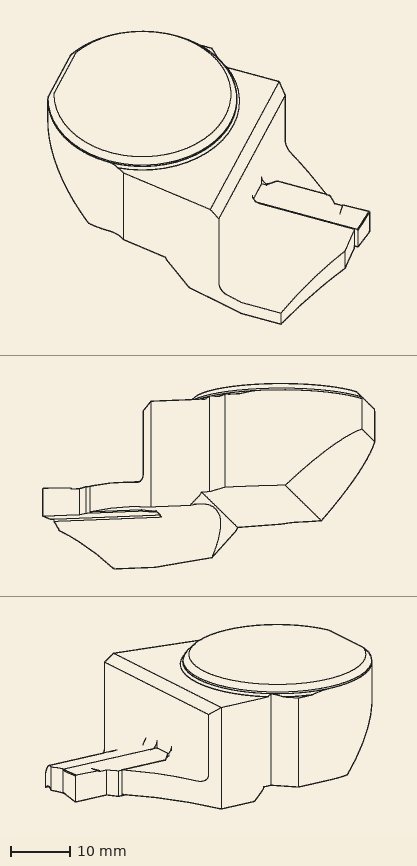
import cadquery as cq
import math


body_radius = 16.0
flat_x = -15.0
head_top_z = 17.75
disc_radius = 15.95
disc_bevel = 1.0
disc_bevel_angle = 45
collar_radius = 16.4
collar_height = 0.45
collar_rim = 0.05

block_top_z = 16.0
back_y = 12.65
back_corner_x = 6.45
back_step_x = back_corner_x + body_radius - back_y
neck_radius = 5.0
neck_end_x = 3.1
wall_x = 21.55
wall_chamfer_x = 1.65
wall_chamfer_z = 1.35

arm_front_y = -21.05
arm_front_start_x = 25.95
arm_front_end_x = 33.05
arm_end_x = 40.05
arm_end_y = -8.9
arm_back_start_x = wall_x - wall_chamfer_x
arm_back_end_x = 34.4
arm_top_radius = 34.3
arm_top_apex_z = 4.1
arm_bottom_radius = 43.5
arm_bottom_apex_z = -0.35
wall_fillet = 1.5

arm_space_width = 48.0

nose_cut_z = 11.2
step_x = 11.2
step_bend_x = 11.87
step_bend_z = -0.92
step_bend_bulge = 0.045

insert_front_y = -4.4
insert_neck_y = 0.0
insert_back_y = 1.5
insert_neck_x = 22.4
insert_flare = 1.4
insert_waist_x = 34.75
insert_tip_x = 41.1
insert_front_tip_x = 40.65
insert_top_z = 4.0
insert_bottom_front_z = -0.2
insert_bottom_neck_z = -0.5

land_start_x = 36.2
land_corner = (36.45, -2.05)
land_end_y = -3.4
land_slope = 0.105
edge_bevel = 0.15

beyond = 60.0


def x_cylinder(radius, apex_z):
    """Long cylinder along X whose highest line lies at apex_z above Y = 0."""
    return (
        cq.Workplane("YZ")
        .center(0, apex_z - radius)
        .circle(radius)
        .extrude(2 * beyond, both=True)
    )


def flat_half_width(radius):
    """Half the width of the flat on the -X side of the head at the given radius."""
    return math.sqrt(radius**2 - flat_x**2)


def flat_sided_disc(bottom_z):
    """Outline of the head disc, round with one flat on the -X side."""
    return (
        cq.Workplane("XY")
        .workplane(offset=bottom_z)
        .moveTo(flat_x, -flat_half_width(disc_radius))
        .threePointArc((disc_radius, 0), (flat_x, flat_half_width(disc_radius)))
        .close()
    )


def insert_plan():
    """Insert outline: a wide middle between two narrow necks, with a slanted cutting end."""
    return [
        (wall_x, insert_front_y),
        (insert_front_tip_x, insert_front_y),
        (insert_tip_x, insert_neck_y),
        (insert_waist_x, insert_neck_y),
        (insert_waist_x - insert_flare, insert_back_y),
        (insert_neck_x + insert_flare, insert_back_y),
        (insert_neck_x, insert_neck_y),
        (wall_x, insert_neck_y),
    ]


def holder_plan(bottom_z, top_z):
    """Plan of head, block and arm as one outline, extruded between two heights."""
    half_root = body_radius * math.sqrt(0.5)
    neck_centre_y = -body_radius - neck_radius
    neck_end_y = neck_centre_y + math.sqrt(neck_radius**2 - neck_end_x**2)
    neck_mid_x = neck_end_x / 2
    neck_mid_y = neck_centre_y + math.sqrt(neck_radius**2 - neck_mid_x**2)
    return (
        cq.Workplane("XY")
        .workplane(offset=bottom_z)
        .moveTo(flat_x, -flat_half_width(body_radius))
        .threePointArc((-half_root, -half_root), (0, -body_radius))
        .threePointArc((neck_mid_x, neck_mid_y), (neck_end_x, neck_end_y))
        .lineTo(arm_front_start_x, arm_front_y)
        .lineTo(arm_front_end_x, arm_front_y)
        .lineTo(arm_end_x, arm_end_y)
        .lineTo(arm_end_x, insert_neck_y)
        .lineTo(arm_back_end_x, insert_neck_y)
        .lineTo(arm_back_start_x, back_y)
        .lineTo(back_step_x, back_y)
        .lineTo(back_corner_x, body_radius)
        .lineTo(0, body_radius)
        .threePointArc((-half_root, half_root), (flat_x, flat_half_width(body_radius)))
        .close()
        .extrude(top_z - bottom_z)
    )


def make_holder():
    holder = holder_plan(-beyond, block_top_z)

    bend_mid_x = (step_x + step_bend_x) / 2 - step_bend_bulge
    bend_mid_z = step_bend_z / 2 - step_bend_bulge
    slope_run = beyond + step_bend_z
    underside = (
        cq.Workplane("XZ")
        .moveTo(flat_x - nose_cut_z, 2 * nose_cut_z)
        .lineTo(flat_x + nose_cut_z, 0)
        .lineTo(step_x, 0)
        .threePointArc((bend_mid_x, bend_mid_z), (step_bend_x, step_bend_z))
        .lineTo(step_bend_x + slope_run, -beyond)
        .lineTo(flat_x - nose_cut_z, -beyond)
        .close()
        .extrude(beyond, both=True)
    )
    holder = holder.cut(underside).cut(x_cylinder(arm_bottom_radius, arm_bottom_apex_z))

    arm_space = (
        cq.Workplane("XY")
        .box(beyond, arm_space_width, beyond, centered=(False, True, True))
        .translate((wall_x, 0, 0))
        .cut(x_cylinder(arm_top_radius, arm_top_apex_z))
        .faces("<X")
        .edges("%CIRCLE")
        .fillet(wall_fillet)
    )
    holder = holder.cut(arm_space)

    wall_bevel = (
        cq.Workplane("XZ")
        .moveTo(wall_x - wall_chamfer_x, block_top_z)
        .lineTo(wall_x, block_top_z)
        .lineTo(wall_x, block_top_z - wall_chamfer_z)
        .close()
        .extrude(beyond, both=True)
    )
    holder = holder.cut(wall_bevel)

    collar = (
        cq.Workplane("XY")
        .workplane(offset=block_top_z)
        .circle(collar_radius)
        .extrude(collar_height)
        .faces(">Z")
        .chamfer(collar_height - collar_rim, collar_radius - body_radius)
        .intersect(holder_plan(block_top_z, head_top_z))
    )

    bevel_z = head_top_z - disc_bevel
    disc = flat_sided_disc(block_top_z).extrude(bevel_z - block_top_z)
    disc = disc.union(flat_sided_disc(bevel_z).extrude(disc_bevel, taper=disc_bevel_angle))
    holder = holder.union(collar).union(disc)

    seat = cq.Workplane("XY").polyline(insert_plan()).close().extrude(beyond, both=True)
    return holder.cut(seat)


def make_insert():
    bottom_slope = (insert_bottom_neck_z - insert_bottom_front_z) / (insert_neck_y - insert_front_y)
    bottom_back_z = insert_bottom_neck_z + bottom_slope * (insert_back_y - insert_neck_y)
    profile = [
        (insert_front_y, insert_bottom_front_z),
        (insert_back_y, bottom_back_z),
        (insert_back_y, insert_top_z),
        (insert_front_y, insert_top_z),
    ]
    bar = cq.Workplane("YZ").polyline(profile).close().extrude(beyond)
    plan = cq.Workplane("XY").polyline(insert_plan()).close().extrude(beyond, both=True)
    body = bar.intersect(plan)

    face_run = (insert_tip_x - insert_front_tip_x) / (insert_neck_y - insert_front_y)
    land_end_x = insert_tip_x + face_run * (land_end_y - insert_neck_y)
    edge_x = land_end_x - land_corner[0]
    edge_y = land_end_y - land_corner[1]
    wedge_plane = cq.Plane(
        origin=(land_corner[0], land_corner[1], insert_top_z),
        xDir=(-edge_y, edge_x, 0),
        normal=(edge_x, edge_y, 0),
    )
    wedge = (
        cq.Workplane(wedge_plane)
        .polyline([(0, 0), (beyond, 0), (beyond, land_slope * beyond)])
        .close()
        .extrude(beyond, both=True)
    )
    land = (
        cq.Workplane("XY")
        .workplane(offset=insert_top_z)
        .polyline(
            [
                (land_start_x, insert_neck_y),
                land_corner,
                (land_end_x, land_end_y),
                (insert_tip_x, insert_neck_y),
            ]
        )
        .close()
        .extrude(beyond)
        .intersect(wedge)
    )
    insert_body = body.union(land)

    front_face = insert_body.faces(">X")
    top_edges = cq.selectors.BoxSelector(
        (insert_front_tip_x - insert_flare, insert_front_y, insert_top_z - edge_bevel),
        (insert_tip_x + insert_flare, insert_back_y, beyond),
    )
    return front_face.edges(top_edges).chamfer(edge_bevel)


holder = make_holder()
insert = make_insert()
result = cq.Compound.makeCompound([holder.solids().val(), insert.solids().val()])